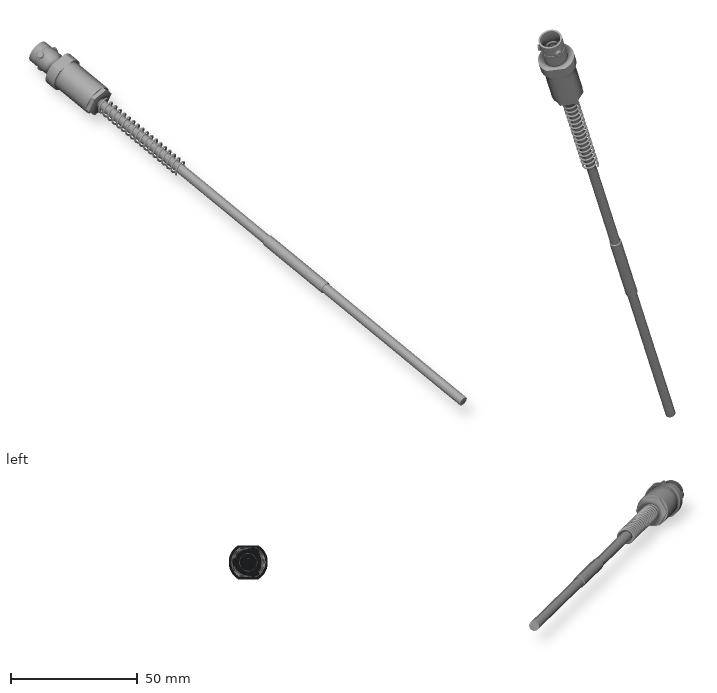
import cadquery as cq
TOTAL_LENGTH = 238.4

BARREL_RADIUS = 4.8
BODY_RADIUS = 12.6 / 2
FLANGE_RADIUS = 14.5 / 2
FLANGE_START = 11.7
FLANGE_END = 16.2
BODY_END = 33.4

LUG_X = 4.3
GROOVE_WIDTH = 2.1
GROOVE_DEPTH = 0.12

LUG_COUNT = 3
LUG_RADIUS = 1.2
LUG_TIP_RADIUS = 5.7
LUG_FILLET = 0.7

SOCKET_RADIUS = 4.0
SOCKET_DEPTH = 9.5
CONTACT_OUTER_RADIUS = 2.9
CONTACT_INNER_RADIUS = 2.1
CONTACT_FRONT = 4.8
PIN_OUTER_RADIUS = 1.2
PIN_INNER_RADIUS = 0.5

NUT_ACROSS_CORNERS = 2 * BODY_RADIUS
NUT_LENGTH = 1.7

CABLE_RADIUS = 2.0
SLEEVE_RADIUS = 2.5
SLEEVE_START = 128.7
SLEEVE_END = 161.1

SPRING_LENGTH = 45.8
SPRING_TURNS = 17.8
SPRING_RADIUS = 3.3
WIRE_RADIUS = 0.38

NUT_END = BODY_END + NUT_LENGTH


def cylinder(radius, start, end):
    """Solid cylinder about the X axis."""
    return cq.Workplane("YZ", origin=(start, 0, 0)).circle(radius).extrude(end - start)


def tube(outer_radius, inner_radius, start, end):
    """Hollow cylinder about the X axis."""
    return cylinder(outer_radius, start, end).cut(cylinder(inner_radius, start, end))


def make_lug(angle, radius):
    """Round peg pointing away from the X axis, turned about it from the +Y direction."""
    peg = cq.Workplane("XZ", origin=(LUG_X, 0, 0)).circle(radius).extrude(-LUG_TIP_RADIUS)
    return peg.rotate((0, 0, 0), (1, 0, 0), angle)


def make_lugged_barrel():
    """Barrel with filleted lugs and a ring groove that stops short of their fillets."""
    barrel = cylinder(BARREL_RADIUS, 0, FLANGE_START)
    groove_start = LUG_X - GROOVE_WIDTH / 2
    groove = tube(BARREL_RADIUS, BARREL_RADIUS - GROOVE_DEPTH, groove_start, groove_start + GROOVE_WIDTH)
    for i in range(LUG_COUNT):
        angle = i * 360 / LUG_COUNT
        barrel = barrel.union(make_lug(angle, LUG_RADIUS))
        groove = groove.cut(make_lug(angle, LUG_RADIUS + LUG_FILLET))
    lug_roots = barrel.edges("not (%CIRCLE or %LINE)")
    return lug_roots.fillet(LUG_FILLET).cut(groove)


def make_flange():
    """Round flange with two wrench flats level with the body."""
    flange = cylinder(FLANGE_RADIUS, FLANGE_START, FLANGE_END)
    flats = cq.Workplane("XY").box(2 * FLANGE_END, 2 * FLANGE_RADIUS, 2 * BODY_RADIUS)
    return flange.intersect(flats)


def make_socket_contacts():
    """Hollow centre pin inside a contact sleeve, both standing on the socket floor."""
    sleeve_contact = tube(CONTACT_OUTER_RADIUS, CONTACT_INNER_RADIUS, CONTACT_FRONT, SOCKET_DEPTH)
    centre_pin = tube(PIN_OUTER_RADIUS, PIN_INNER_RADIUS, CONTACT_FRONT, SOCKET_DEPTH)
    return sleeve_contact.add(centre_pin)


def make_connector():
    """Barrel, flange and rear body in one piece, with the mating socket in the barrel."""
    shell = make_lugged_barrel()
    shell = shell.union(make_flange()).union(cylinder(BODY_RADIUS, FLANGE_END, BODY_END))
    shell = shell.cut(cylinder(SOCKET_RADIUS, 0, SOCKET_DEPTH))
    return shell.union(make_socket_contacts())


def make_clamp_nut():
    """Hexagonal nut with corners on the Y axis."""
    nut = cq.Workplane("YZ", origin=(BODY_END, 0, 0)).polygon(6, NUT_ACROSS_CORNERS).extrude(NUT_LENGTH)
    return nut.cut(cylinder(CABLE_RADIUS, BODY_END, NUT_END))


def make_spring():
    """Coil of round wire around the cable that starts against the nut."""
    mean_radius = SPRING_RADIUS - WIRE_RADIUS
    rise = SPRING_LENGTH - 2 * WIRE_RADIUS
    path = cq.Wire.makeHelix(rise / SPRING_TURNS, rise, mean_radius)
    section = cq.Workplane("XZ", origin=(mean_radius, 0, 0)).circle(WIRE_RADIUS)
    coil = section.sweep(cq.Workplane(path), isFrenet=True)
    return coil.rotate((0, 0, 0), (0, 1, 0), 90).translate((NUT_END + WIRE_RADIUS, 0, 0))


connector = make_connector()
clamp_nut = make_clamp_nut()
cable = cylinder(CABLE_RADIUS, BODY_END, TOTAL_LENGTH)
sleeve = tube(SLEEVE_RADIUS, CABLE_RADIUS, SLEEVE_START, SLEEVE_END)
spring = make_spring()

bodies = [connector, clamp_nut, cable, sleeve, spring]
result = cq.Compound.makeCompound([body.solids().val() for body in bodies])